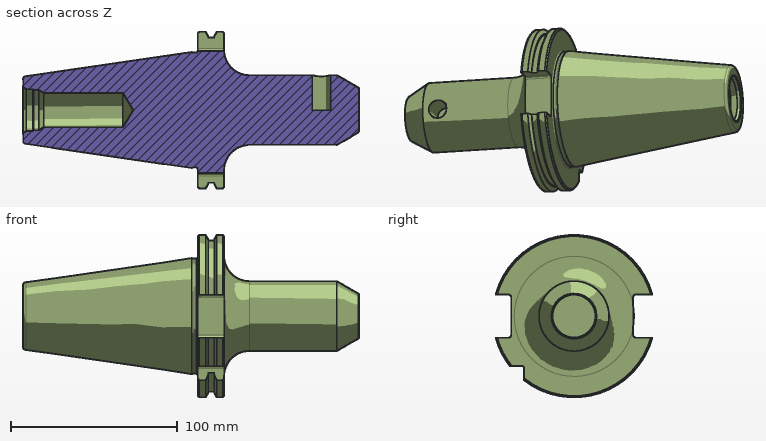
import cadquery as cq
import math

GAUGE_RADIUS = 69.85 / 2
TAPER_LENGTH = 101.6
TAPER_SLOPE = 7 / 48
TAPER_TIP_FILLET = 2.0
TAPER_END = -0.5

RELIEF_START = 0.7
RELIEF_DEPTH = 0.3
RELIEF_ROOT_FILLET = 1.0

FLANGE_RADIUS = 97.5 / 2
FLANGE_START = 3.2
FLANGE_END = 19.1
FLANGE_CHAMFER = 0.9
GROOVE_CENTRE = 11.3
GROOVE_WIDTH = 6.6
GROOVE_FLANK_DEPTH = 2.7
GROOVE_FLOOR_RADIUS = 45.4
GROOVE_FLANK_ANGLE = math.radians(30)

SLOT_WIDTH = 25.7
SLOT_CORNER_RADIUS = 1.6
SLOT_FLOOR_PLUS_Y = 35.5
SLOT_FLOOR_MINUS_Y = 37.7

NOTCH_OFFSET = 30.0
NOTCH_CORNER_RADIUS = 1.2

NOSE_RADIUS = 21.0
NOSE_END = 100.0
NOSE_FILLET = 15.0
NOSE_TIP_RADIUS = 13.3
NOSE_CONE_ANGLE = math.radians(30)
NOSE_TIP_CHAMFER = 0.5

SCREW_HOLE_DIAMETER = 11.0
SCREW_HOLE_X = 77.4

MOUTH_RADIUS = 14.2
MOUTH_GUARD_ANGLE = math.radians(60)
CENTRE_CONE_RADIUS = 13.5
CENTRE_CONE_ANGLE = math.radians(30)
PILOT_RADIUS = 12.5
PILOT_DEPTH = 6.0
COLLAR_RADIUS = 12.0
COLLAR_DEPTH = 9.7
THREAD_ENTRY_RADIUS = 11.7
THREAD_ENTRY_ANGLE = math.radians(30)
THREAD_CORE_RADIUS = 10.2
BORE_DEPTH = 60.0
DRILL_POINT_ANGLE = math.radians(59)

TAPER_TIP = -TAPER_LENGTH


def taper_radius(x):
    return GAUGE_RADIUS + TAPER_SLOPE * x


def revolve_about_x(profile):
    return profile.close().revolve(360, (0, 0, 0), (1, 0, 0))


def make_taper():
    relief_radius = taper_radius(TAPER_END) - RELIEF_DEPTH
    root_arc_offset = RELIEF_ROOT_FILLET * math.sqrt(0.5)
    root_centre_x = FLANGE_START - RELIEF_ROOT_FILLET
    root_centre_radius = relief_radius + RELIEF_ROOT_FILLET
    profile = (
        cq.Workplane("XY")
        .moveTo(TAPER_TIP, 0)
        .lineTo(TAPER_TIP, taper_radius(TAPER_TIP))
        .lineTo(TAPER_END, taper_radius(TAPER_END))
        .lineTo(RELIEF_START, relief_radius)
        .lineTo(root_centre_x, relief_radius)
        .threePointArc(
            (root_centre_x + root_arc_offset, root_centre_radius - root_arc_offset),
            (FLANGE_START, root_centre_radius),
        )
        .lineTo(FLANGE_START, 0)
    )
    return revolve_about_x(profile).faces("<X").edges().fillet(TAPER_TIP_FILLET)


def make_flange():
    half_opening = GROOVE_WIDTH / 2
    flank_end_radius = FLANGE_RADIUS - GROOVE_FLANK_DEPTH
    half_floor = half_opening - GROOVE_FLANK_DEPTH * math.tan(GROOVE_FLANK_ANGLE)
    rim_shoulder = FLANGE_RADIUS - FLANGE_CHAMFER
    profile = (
        cq.Workplane("XY")
        .moveTo(FLANGE_START, 0)
        .lineTo(FLANGE_START, rim_shoulder)
        .lineTo(FLANGE_START + FLANGE_CHAMFER, FLANGE_RADIUS)
        .lineTo(GROOVE_CENTRE - half_opening, FLANGE_RADIUS)
        .lineTo(GROOVE_CENTRE - half_floor, flank_end_radius)
        .lineTo(GROOVE_CENTRE - half_floor, GROOVE_FLOOR_RADIUS)
        .lineTo(GROOVE_CENTRE + half_floor, GROOVE_FLOOR_RADIUS)
        .lineTo(GROOVE_CENTRE + half_floor, flank_end_radius)
        .lineTo(GROOVE_CENTRE + half_opening, FLANGE_RADIUS)
        .lineTo(FLANGE_END - FLANGE_CHAMFER, FLANGE_RADIUS)
        .lineTo(FLANGE_END, rim_shoulder)
        .lineTo(FLANGE_END, 0)
    )
    return revolve_about_x(profile)


def make_nose():
    cone_length = (NOSE_RADIUS - NOSE_TIP_RADIUS) / math.tan(NOSE_CONE_ANGLE)
    fillet_end = FLANGE_END + NOSE_FILLET
    fillet_centre_radius = NOSE_RADIUS + NOSE_FILLET
    arc_offset = NOSE_FILLET * math.sqrt(0.5)
    profile = (
        cq.Workplane("XY")
        .moveTo(FLANGE_END, 0)
        .lineTo(FLANGE_END, fillet_centre_radius)
        .threePointArc(
            (fillet_end - arc_offset, fillet_centre_radius - arc_offset),
            (fillet_end, NOSE_RADIUS),
        )
        .lineTo(NOSE_END - cone_length, NOSE_RADIUS)
        .lineTo(NOSE_END, NOSE_TIP_RADIUS)
        .lineTo(NOSE_END, 0)
    )
    return revolve_about_x(profile).faces(">X").edges().chamfer(NOSE_TIP_CHAMFER)


def make_pull_stud_bore():
    guard_depth = (MOUTH_RADIUS - CENTRE_CONE_RADIUS) / math.tan(MOUTH_GUARD_ANGLE)
    centre_cone_length = (CENTRE_CONE_RADIUS - PILOT_RADIUS) / math.tan(CENTRE_CONE_ANGLE)
    collar_start = PILOT_DEPTH + PILOT_RADIUS - COLLAR_RADIUS
    entry_start = COLLAR_DEPTH + COLLAR_RADIUS - THREAD_ENTRY_RADIUS
    entry_length = (THREAD_ENTRY_RADIUS - THREAD_CORE_RADIUS) / math.tan(THREAD_ENTRY_ANGLE)
    point_length = THREAD_CORE_RADIUS / math.tan(DRILL_POINT_ANGLE)
    profile = (
        cq.Workplane("XY")
        .moveTo(0, 0)
        .lineTo(0, MOUTH_RADIUS)
        .lineTo(guard_depth, CENTRE_CONE_RADIUS)
        .lineTo(guard_depth + centre_cone_length, PILOT_RADIUS)
        .lineTo(PILOT_DEPTH, PILOT_RADIUS)
        .lineTo(collar_start, COLLAR_RADIUS)
        .lineTo(COLLAR_DEPTH, COLLAR_RADIUS)
        .lineTo(entry_start, THREAD_ENTRY_RADIUS)
        .lineTo(entry_start + entry_length, THREAD_CORE_RADIUS)
        .lineTo(BORE_DEPTH, THREAD_CORE_RADIUS)
        .lineTo(BORE_DEPTH + point_length, 0)
    )
    return revolve_about_x(profile).translate((TAPER_TIP, 0, 0))


def make_flange_block(y_start, y_end, z_start, z_end):
    """Box through the full thickness of the flange only."""
    return cq.Workplane("XY").box(
        FLANGE_END - FLANGE_START, y_end - y_start, z_end - z_start, centered=False
    ).translate((FLANGE_START, y_start, z_start))


def make_drive_slot(side, floor):
    """Slot open to the given side in Y (+1 or -1) with rounded floor corners."""
    edges_y = sorted((side * floor, side * 2 * FLANGE_RADIUS))
    slot = make_flange_block(*edges_y, -SLOT_WIDTH / 2, SLOT_WIDTH / 2)
    floor_face = "<Y" if side > 0 else ">Y"
    return slot.faces(floor_face).edges("|X").fillet(SLOT_CORNER_RADIUS)


def make_orientation_notch():
    outside = -2 * FLANGE_RADIUS
    notch = make_flange_block(outside, -NOTCH_OFFSET, outside, -NOTCH_OFFSET)
    return notch.faces(">Y").edges(">Z").fillet(NOTCH_CORNER_RADIUS)


def make_screw_hole():
    """Blind radial hole from outside the nose down to its axis."""
    hole = cq.Workplane("XZ").circle(SCREW_HOLE_DIAMETER / 2).extrude(-2 * NOSE_RADIUS)
    return hole.translate((SCREW_HOLE_X, 0, 0))


slotted_flange = (
    make_flange()
    .cut(make_drive_slot(1, SLOT_FLOOR_PLUS_Y))
    .cut(make_drive_slot(-1, SLOT_FLOOR_MINUS_Y))
    .cut(make_orientation_notch())
)

result = (
    make_taper()
    .union(slotted_flange)
    .union(make_nose())
    .cut(make_pull_stud_bore())
    .cut(make_screw_hole())
)